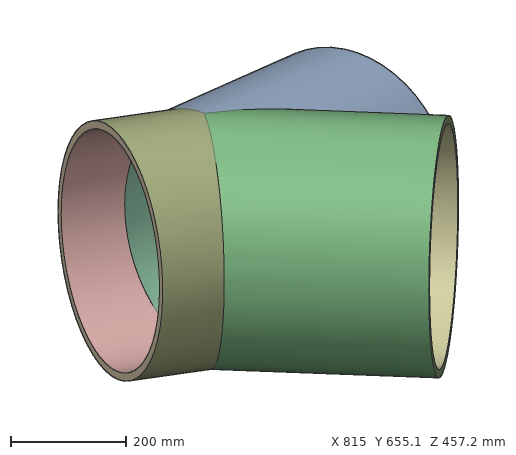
import cadquery as cq

OUTER_DIAMETER = 457.2
BORE_DIAMETER = 428.65
INLET_LENGTH = 177.8
BRANCH_LENGTH = 419.1
BRANCH_ANGLE = 30.0

INLET_HEADING = 180.0
PIPES = [
    (INLET_HEADING, INLET_LENGTH),
    (BRANCH_ANGLE, BRANCH_LENGTH),
    (-BRANCH_ANGLE, BRANCH_LENGTH),
]


def cylinder_from_junction(diameter, heading, length):
    """Horizontal cylinder that starts at the origin and runs along the heading."""
    along_y = cq.Workplane("XZ").circle(diameter / 2).extrude(-length)
    return along_y.rotate((0, 0, 0), (0, 0, 1), heading)


def joined_cylinders(diameter):
    """Y shape of one diameter: the inlet and both branches fused at the junction."""
    body = cq.Workplane("XY")
    for heading, length in PIPES:
        body = body.add(cylinder_from_junction(diameter, heading, length))
    return body.combine()


result = joined_cylinders(OUTER_DIAMETER).cut(joined_cylinders(BORE_DIAMETER))